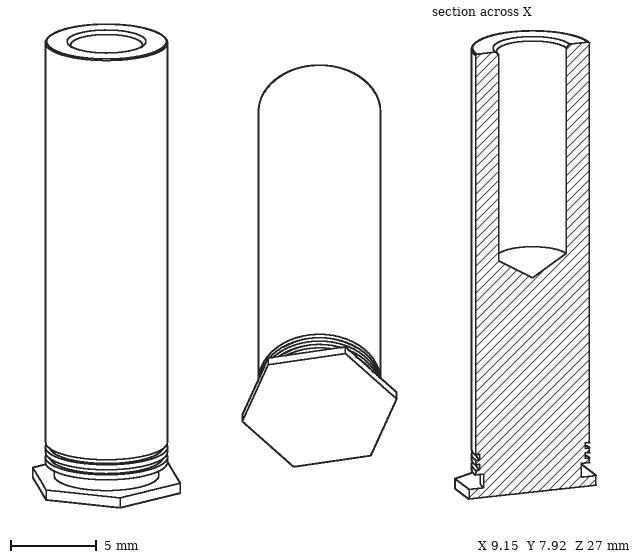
import math

import cadquery as cq

TOTAL_HEIGHT = 26.99

HEX_ACROSS_FLATS = 7.92
HEX_ACROSS_CORNERS = HEX_ACROSS_FLATS / math.cos(math.pi / 6)
HEX_THICKNESS = 0.61

BODY_DIAMETER = 7.11
BODY_EDGE_CHAMFER = 0.075
NECK_DIAMETER = 6.1
NECK_HEIGHT = 0.81
BODY_BOTTOM = HEX_THICKNESS + NECK_HEIGHT

GROOVE_DIAMETER = 6.6
GROOVE_WIDTH = 0.305
GROOVE_COUNT = 2
GROOVE_PITCH = 2 * GROOVE_WIDTH

HOLE_DIAMETER = 4.17
HOLE_CHAMFER = 0.21
HOLE_DEPTH = 12.7
DRILL_POINT_ANGLE = 118.0


def cylinder(diameter, bottom, height):
    """Upright cylinder on the Z axis."""
    return cq.Workplane("XY").workplane(offset=bottom).circle(diameter / 2).extrude(height)


def make_head():
    return cq.Workplane("XY").polygon(6, HEX_ACROSS_CORNERS).extrude(HEX_THICKNESS)


def make_body():
    body = cylinder(BODY_DIAMETER, BODY_BOTTOM, TOTAL_HEIGHT - BODY_BOTTOM)
    return body.faces(">Z").edges().chamfer(BODY_EDGE_CHAMFER)


def make_groove(bottom):
    """Ring of material to remove between the groove floor and the body surface."""
    outer = cylinder(BODY_DIAMETER, bottom, GROOVE_WIDTH)
    return outer.cut(cylinder(GROOVE_DIAMETER, bottom, GROOVE_WIDTH))


def make_hole():
    """Hole with a chamfered mouth and a conical bottom, revolved about the Z axis."""
    radius = HOLE_DIAMETER / 2
    bottom = TOTAL_HEIGHT - HOLE_DEPTH
    tip = bottom - radius / math.tan(math.radians(DRILL_POINT_ANGLE / 2))
    return (
        cq.Workplane("XZ")
        .moveTo(0, tip)
        .lineTo(radius, bottom)
        .lineTo(radius, TOTAL_HEIGHT - HOLE_CHAMFER)
        .lineTo(radius + HOLE_CHAMFER, TOTAL_HEIGHT)
        .lineTo(0, TOTAL_HEIGHT)
        .close()
        .revolve(360, (0, 0, 0), (0, 1, 0))
    )


neck = cylinder(NECK_DIAMETER, HEX_THICKNESS, NECK_HEIGHT)
result = make_head().union(neck).union(make_body())

for index in range(GROOVE_COUNT):
    groove_bottom = BODY_BOTTOM + GROOVE_WIDTH + index * GROOVE_PITCH
    result = result.cut(make_groove(groove_bottom))

result = result.cut(make_hole())